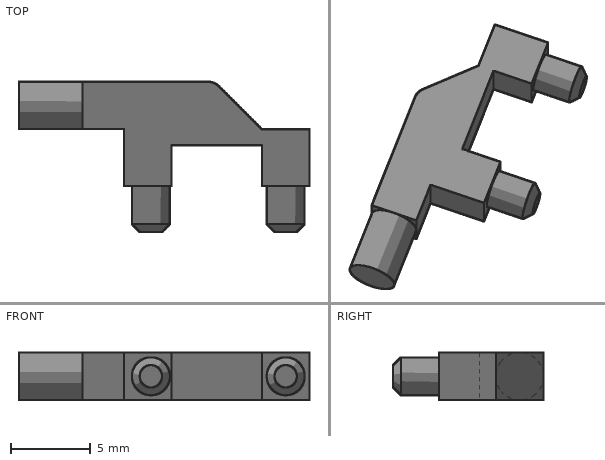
import cadquery as cq

length = 18.29
depth = 9.47
thickness = 3.0

body_start = 4.0
leg_width = thickness
first_leg_left = 6.6
first_leg_right = first_leg_left + leg_width
second_leg_left = length - leg_width
leg_end = 2.89
recess_y = 5.45
bar_front = depth - thickness
slope_top_x = second_leg_left - thickness
slope_fillet = 1.0

pin_diameter = 2.4
pin_chamfer = 0.5
second_pin_x = 16.79
pin_spacing = 8.49
pin_centers_x = (second_pin_x - pin_spacing, second_pin_x)


def make_body():
    outline = [
        (body_start, depth),
        (slope_top_x, depth),
        (second_leg_left, bar_front),
        (length, bar_front),
        (length, leg_end),
        (second_leg_left, leg_end),
        (second_leg_left, recess_y),
        (first_leg_right, recess_y),
        (first_leg_right, leg_end),
        (first_leg_left, leg_end),
        (first_leg_left, bar_front),
        (body_start, bar_front),
    ]
    body = cq.Workplane("XY").polyline(outline).close().extrude(thickness / 2, both=True)
    slope_edge = cq.selectors.NearestToPointSelector((slope_top_x, depth, 0))
    return body.edges("|Z").edges(slope_edge).fillet(slope_fillet)


def make_shaft():
    """Round shaft continuing the bar toward -X."""
    shaft_plane = cq.Workplane("YZ").center(depth - thickness / 2, 0)
    return shaft_plane.circle(thickness / 2).extrude(body_start)


def make_pin(center_x):
    """Pin from the end of a leg to Y = 0, chamfered at its tip."""
    pin = cq.Workplane("XZ").center(center_x, 0).circle(pin_diameter / 2).extrude(-leg_end)
    return pin.faces("<Y").chamfer(pin_chamfer)


result = make_body().union(make_shaft())
for pin_x in pin_centers_x:
    result = result.union(make_pin(pin_x))